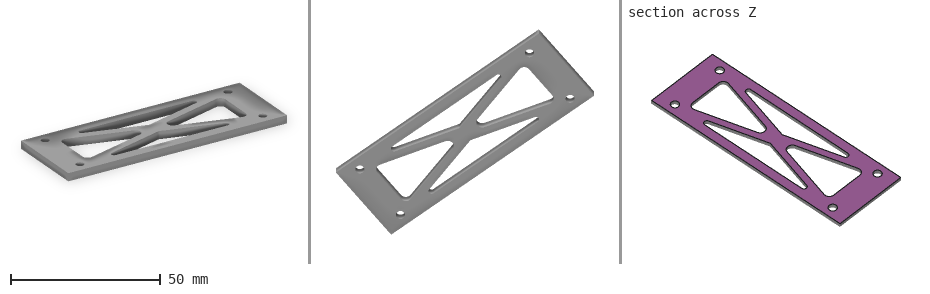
import cadquery as cq
import math

width = 30.0
length = 86.0
thickness = 3.0

hole_diameter = 3.0
hole_spacing_x = 22.0
hole_spacing_y = 71.9

brace_angle = 15.7
brace_width = 2.8
end_edge_y = 32.1
side_edge_x = 11.3
end_window_radius = 2.0
side_window_radius = 1.0

brace_slope = math.tan(math.radians(brace_angle))
brace_width_x = brace_width / math.cos(math.radians(brace_angle))


def end_window(side):
    """Rounded triangle whose sharp tip lies at the plate centre; side is +1 or -1 along Y."""
    half_base = end_edge_y * brace_slope
    edge_y = side * end_edge_y
    return (
        cq.Workplane("XY")
        .polyline([(0, 0), (half_base, edge_y), (-half_base, edge_y)])
        .close()
        .extrude(thickness)
        .edges("|Z")
        .fillet(end_window_radius)
    )


def side_window(side):
    """Long triangle with a sharp inner tip and rounded ends; side is +1 or -1 along X."""
    half_base = (side_edge_x - brace_width_x) / brace_slope
    tip_x = side * brace_width_x
    edge_x = side * side_edge_x
    return (
        cq.Workplane("XY")
        .polyline([(tip_x, 0), (edge_x, half_base), (edge_x, -half_base)])
        .close()
        .extrude(thickness)
        .edges("|Z")
        .edges(">Y or <Y")
        .fillet(side_window_radius)
    )


plate = cq.Workplane("XY").box(width, length, thickness, centered=(True, True, False))

holes = (
    cq.Workplane("XY")
    .rarray(hole_spacing_x, hole_spacing_y, 2, 2)
    .circle(hole_diameter / 2)
    .extrude(thickness)
)

result = plate.cut(holes)
for side in (1, -1):
    result = result.cut(end_window(side)).cut(side_window(side))